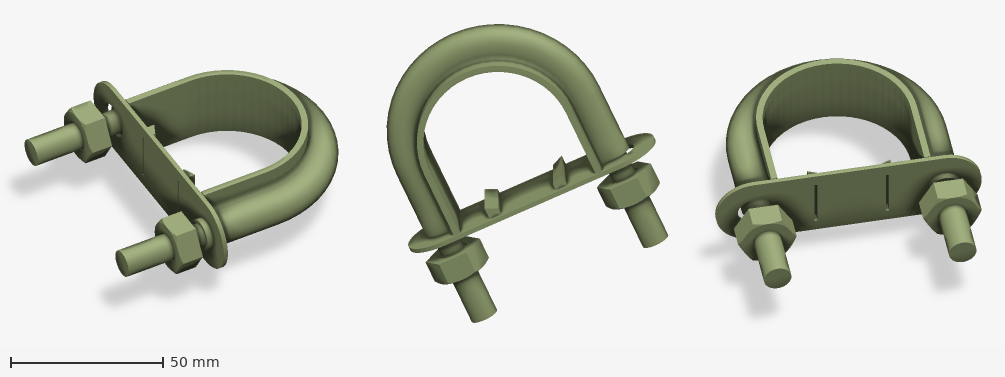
import cadquery as cq
import math


leg_offset = 31.0
rod_diameter = 8.2
thread_diameter = 9.2
overall_length = 93.05

tube_width = 11.35
rod_bore = 8.4
strap_inner_radius = 24.6
strap_thickness = 2.1
root_fillet = 1.5
collar_diameter = 10.8
collar_projection = 2.1
plate_gap = 0.3

plate_length = 89.0
plate_width = 25.0
plate_thickness = 1.5
plate_shift = -1.0
plate_top = -23.5
slot_travel = 1.9

slit_spacing = 23.9
slit_width = 1.0
slit_length = 16.9
louvre_wall = 1.5
louvre_tall_height = 3.9
louvre_low_height = 2.1

nut_across_flats = 17.0
nut_thickness = 8.0
nut_bore = 10.0
nut_plate_clearance = 6.4
nut_chamfer_angle = 30.0

crown = leg_offset + tube_width / 2
rod_tip = crown - overall_length
plate_bottom = plate_top - plate_thickness
cushion_end = plate_top + plate_gap
nut_top = plate_bottom - nut_plate_clearance
nut_bottom = nut_top - nut_thickness


def u_path(leg_end):
    """Centre line of the U, starting at the right-hand leg end."""
    return (
        cq.Workplane("XY")
        .moveTo(leg_offset, leg_end)
        .lineTo(leg_offset, 0)
        .threePointArc((0, leg_offset), (-leg_offset, 0))
        .lineTo(-leg_offset, leg_end)
    )


def xz_plane(y, x=0.0):
    """Work plane facing +Y, with local x along +X and local y along -Z."""
    return cq.Workplane(cq.Plane(origin=(x, y, 0), xDir=(1, 0, 0), normal=(0, 1, 0)))


def u_rod(diameter, leg_end):
    """Round bar bent to the U."""
    return xz_plane(leg_end, leg_offset).circle(diameter / 2).sweep(u_path(leg_end))


def make_u_bolt():
    bolt = u_rod(rod_diameter, nut_top)
    for side in (-1, 1):
        thread_circle = xz_plane(rod_tip, side * leg_offset).circle(thread_diameter / 2)
        thread = thread_circle.extrude(nut_top - rod_tip)
        bolt = bolt.union(thread)
    return bolt


def make_cushion():
    strap_inner = strap_inner_radius - leg_offset
    strap_outer = strap_inner + strap_thickness
    half_strap = plate_width / 2
    half_tube = tube_width / 2
    fillet_start = half_tube + root_fillet
    fillet_end = strap_outer + root_fillet
    fillet_bulge = root_fillet * (1 - math.sqrt(0.5))
    fillet_middle = (strap_outer + fillet_bulge, half_tube + fillet_bulge)

    body = (
        xz_plane(cushion_end, leg_offset)
        .moveTo(strap_inner, -half_strap)
        .lineTo(strap_inner, half_strap)
        .lineTo(strap_outer, half_strap)
        .lineTo(strap_outer, fillet_start)
        .threePointArc(fillet_middle, (fillet_end, half_tube))
        .lineTo(0, half_tube)
        .threePointArc((half_tube, 0), (0, -half_tube))
        .lineTo(fillet_end, -half_tube)
        .threePointArc((fillet_middle[0], -fillet_middle[1]), (strap_outer, -fillet_start))
        .lineTo(strap_outer, -half_strap)
        .close()
        .sweep(u_path(cushion_end))
    )
    collar_end = plate_bottom - collar_projection
    collar = xz_plane(collar_end, leg_offset).circle(collar_diameter / 2).extrude(cushion_end - collar_end)
    return body.union(collar).cut(u_rod(rod_bore, collar_end))


def louvre_profile(half_width, tall_height, low_height):
    """Side outline of the right-hand louvre, from the plate's outer face up to its sloping roof."""
    centre = slit_spacing / 2
    return (
        cq.Workplane("XY")
        .moveTo(centre - half_width, plate_bottom)
        .lineTo(centre - half_width, plate_top + low_height)
        .lineTo(centre + half_width, plate_top + tall_height)
        .lineTo(centre + half_width, plate_bottom)
        .close()
    )


def make_plate():
    plate = (
        xz_plane(plate_bottom, plate_shift)
        .slot2D(plate_length, plate_width)
        .extrude(plate_thickness)
    )
    collar_hole = xz_plane(plate_bottom, leg_offset).circle(collar_diameter / 2).extrude(plate_thickness)
    leg_slot = (
        xz_plane(plate_bottom, -leg_offset - slot_travel / 2)
        .slot2D(collar_diameter + slot_travel, collar_diameter)
        .extrude(plate_thickness)
    )
    plate = plate.cut(collar_hole).cut(leg_slot)

    half_slit = slit_width / 2
    half_louvre = half_slit + louvre_wall
    roof_slope = (louvre_tall_height - louvre_low_height) / (2 * half_louvre)
    roof_middle = (louvre_tall_height + louvre_low_height) / 2
    slit_middle = roof_middle - louvre_wall * math.hypot(1, roof_slope)
    slit_rise = roof_slope * half_slit
    shell = louvre_profile(half_louvre, louvre_tall_height, louvre_low_height)
    shell = shell.extrude(slit_length / 2 + louvre_wall, both=True)
    slit = louvre_profile(half_slit, slit_middle + slit_rise, slit_middle - slit_rise)
    slit = slit.extrude(slit_length / 2, both=True)
    plate = plate.union(shell).union(shell.mirror("YZ"))
    return plate.cut(slit).cut(slit.mirror("YZ"))


def make_nut(x):
    corner_radius = nut_across_flats / math.sqrt(3)
    flat_radius = nut_across_flats / 2
    chamfer_depth = (corner_radius - flat_radius) * math.tan(math.radians(nut_chamfer_angle))
    hexagon = (
        xz_plane(nut_bottom, x)
        .polygon(6, 2 * corner_radius)
        .circle(nut_bore / 2)
        .extrude(nut_thickness)
    )
    blank = (
        cq.Workplane("XY", origin=(x, 0, 0))
        .moveTo(0, nut_bottom)
        .lineTo(flat_radius, nut_bottom)
        .lineTo(corner_radius, nut_bottom + chamfer_depth)
        .lineTo(corner_radius, nut_top)
        .lineTo(0, nut_top)
        .close()
        .revolve(360, (0, 0, 0), (0, 1, 0))
    )
    return hexagon.intersect(blank)


u_bolt = make_u_bolt()
cushion = make_cushion()
plate = make_plate()
nuts = [make_nut(side * leg_offset) for side in (-1, 1)]

result = cq.Compound.makeCompound([
    u_bolt.val(),
    cushion.val(),
    plate.val(),
    *[nut.val() for nut in nuts],
])